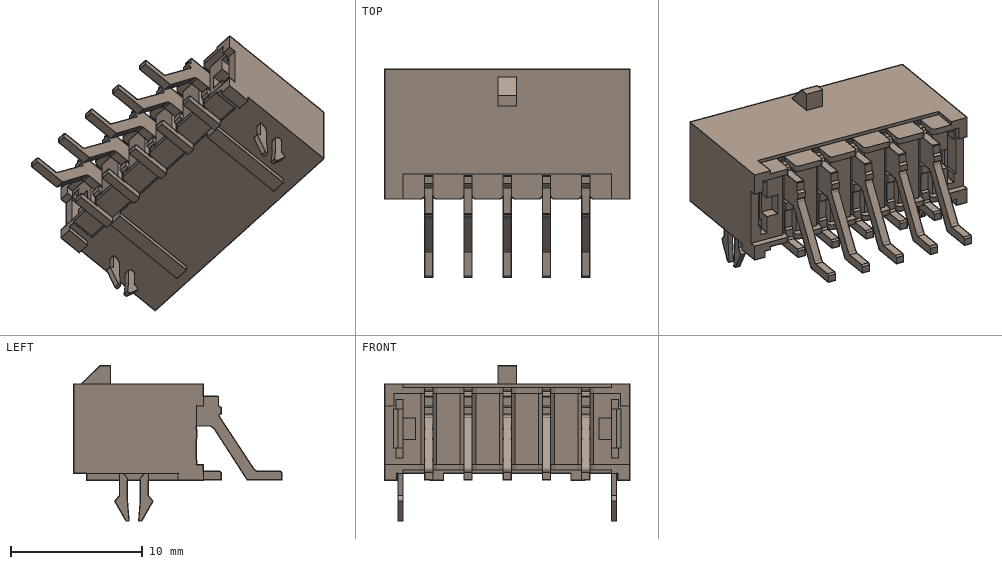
import cadquery as cq


length = 18.7
depth = 9.91
top_z = 7.35
base_z = 0.52
half_length = length / 2

panel_y = 0.55
panel_bottom_z = 1.2
end_notch_top_z = 5.68
panel_top_z = 6.62
corner_post_width = 0.73
lip_recess_depth = 0.26
lip_recess_back_y = 1.93
lip_recess_margin = 1.4
lip_top_z = top_z - lip_recess_depth
lip_bottom_z = base_z + lip_recess_depth

corner_foot_width = 0.94
rail_width = 1.05
rail_offset = 5.37
rail_end_y = 8.92

latch_width = 1.42
latch_height = 1.4
latch_back_y = 7.09
latch_crest_y = 7.9
latch_front_y = 9.31

pin_count = 5
pin_pitch = 3.0
pin_width = 0.64
pin_bottom_z = 0.04
lead_top_z = 0.71
tip_chamfer = 0.13
slot_mouth_width = 1.22
slot_flare = (slot_mouth_width - pin_width) / 2
slot_back_y = 1.81
pin_root_y = slot_back_y + 0.19

lock_inner_margin = 1.4
lock_thickness = 0.4
lock_center_y = 5.31
lock_tip_z = -3.1
lock_slot_bottom_z = 1.72
lock_slot_top_z = 6.15
lock_slot_width = 0.55
lock_pocket_back_y = 1.42
lock_plate_bottom_z = 2.45
lock_plate_top_z = 5.42
lock_channel_width = 0.73
lock_channel_back_y = 1.87
lock_plate_front_y = 1.68
lock_window_bottom_z = 3.12
lock_window_top_z = 4.75
lock_window_width = 0.95


def block(x0, x1, y0, y1, z0, z1):
    """Box given by its limits along each axis."""
    return cq.Workplane("XY").box(x1 - x0, y1 - y0, z1 - z0, centered=False).translate((x0, y0, z0))


def plate_yz(points, width, center_x=0.0):
    """Plate with an outline in Y and Z, centred on center_x."""
    outline = cq.Workplane("YZ").polyline(points).close()
    return outline.extrude(width / 2, both=True).translate((center_x, 0, 0))


def mirrored(shape):
    """The shape together with its mirror image across the middle plane."""
    return shape.union(shape.mirror("YZ"))


def make_housing():
    body = block(-half_length, half_length, 0, depth, base_z, top_z)
    lip_half = half_length - lip_recess_margin
    panel_half = half_length - corner_post_width
    body = body.cut(block(-lip_half, lip_half, 0, lip_recess_back_y, lip_top_z, top_z))
    body = body.cut(block(-lip_half, lip_half, 0, lip_recess_back_y, base_z, lip_bottom_z))
    body = body.cut(block(-half_length, half_length, 0, panel_y, panel_bottom_z, end_notch_top_z))
    body = body.cut(block(-panel_half, panel_half, 0, panel_y, panel_bottom_z, panel_top_z))
    return body


def make_feet():
    corner_foot = block(-half_length, corner_foot_width - half_length, 0, lip_recess_back_y, 0, base_z)
    rail = block(-rail_width / 2, rail_width / 2, lip_recess_back_y, rail_end_y, 0, base_z)
    return mirrored(corner_foot.union(rail.translate((-rail_offset, 0, 0))))


def make_latch():
    crest_z = top_z + latch_height
    outline = [
        (latch_back_y, top_z),
        (latch_back_y, crest_z),
        (latch_crest_y, crest_z),
        (latch_front_y, top_z),
    ]
    return plate_yz(outline, latch_width)


def make_terminal_slot(center_x):
    """Slot for a pair of terminals: rounded mouth in the lips, bevelled mouth in the panel."""
    half_pin = pin_width / 2
    half_mouth = slot_mouth_width / 2
    slot = block(-half_pin, half_pin, 0, slot_back_y, lip_bottom_z, lip_top_z)
    arc_middle = slot_flare * (1 - 0.5**0.5)
    rounded_mouth = (
        cq.Workplane("XY")
        .workplane(offset=lip_bottom_z)
        .moveTo(-half_mouth, 0)
        .threePointArc((-half_pin - arc_middle, arc_middle), (-half_pin, slot_flare))
        .lineTo(half_pin, slot_flare)
        .threePointArc((half_pin + arc_middle, arc_middle), (half_mouth, 0))
        .close()
        .extrude(lip_top_z - lip_bottom_z)
    )
    bevelled_mouth = (
        cq.Workplane("XY")
        .workplane(offset=panel_bottom_z)
        .moveTo(-half_mouth, panel_y)
        .lineTo(-half_pin, panel_y + slot_flare)
        .lineTo(half_pin, panel_y + slot_flare)
        .lineTo(half_mouth, panel_y)
        .close()
        .extrude(panel_top_z - panel_bottom_z)
    )
    return slot.union(rounded_mouth).union(bevelled_mouth).translate((center_x, 0, 0))


def make_upper_terminal(center_x):
    lead_end_y = -5.98
    underside_z = 4.13
    bump_y = -1.37
    bump_bottom_z = 5.07
    bump_top_z = 5.55
    tab_front_y = -1.16
    tab_top_z = 6.41
    step_z = 6.77
    step_end_y = 1.72
    root_top_z = 6.9
    outline = (
        cq.Workplane("YZ")
        .moveTo(pin_root_y, underside_z)
        .lineTo(-0.52, underside_z)
        .lineTo(-0.8, underside_z - 0.19)
        .lineTo(-3.33, pin_bottom_z)
        .lineTo(lead_end_y, pin_bottom_z)
        .lineTo(lead_end_y, lead_top_z - tip_chamfer)
        .lineTo(lead_end_y + tip_chamfer, lead_top_z)
        .lineTo(-4.02, lead_top_z)
        .lineTo(-3.85, lead_top_z + 0.15)
        .lineTo(-1.25, bump_bottom_z - 0.26)
        .threePointArc((-1.2, bump_bottom_z - 0.11), (-1.3, bump_bottom_z))
        .lineTo(bump_y, bump_bottom_z)
        .lineTo(bump_y, bump_top_z)
        .lineTo(tab_front_y, bump_top_z + 0.13)
        .lineTo(tab_front_y, tab_top_z - 0.05)
        .lineTo(tab_front_y + 0.07, tab_top_z)
        .lineTo(0.86, tab_top_z)
        .lineTo(1.03, tab_top_z + 0.2)
        .lineTo(1.2, step_z)
        .lineTo(step_end_y, step_z)
        .lineTo(step_end_y + 0.04, root_top_z)
        .lineTo(pin_root_y, root_top_z)
        .close()
    )
    return outline.extrude(pin_width / 2, both=True).translate((center_x, 0, 0))


def make_lower_terminal(center_x):
    lead_end_y = -1.37
    head_y = 0.5
    neck_y = 0.67
    neck_bottom_z = 1.65
    neck_top_z = 3.1
    neck_bevel = 0.13
    head_top_z = 3.87
    outline = [
        (pin_root_y, base_z),
        (lip_recess_back_y, base_z),
        (lip_recess_back_y, pin_bottom_z),
        (lead_end_y, pin_bottom_z),
        (lead_end_y, lead_top_z - tip_chamfer),
        (lead_end_y + tip_chamfer, lead_top_z),
        (head_y - 0.15, lead_top_z),
        (head_y, lead_top_z + 0.15),
        (head_y, neck_bottom_z - neck_bevel),
        (neck_y, neck_bottom_z),
        (neck_y, neck_top_z),
        (head_y, neck_top_z + neck_bevel),
        (head_y, head_top_z),
        (pin_root_y, head_top_z),
    ]
    return plate_yz(outline, pin_width, center_x)


def make_lock_pocket():
    """Pocket in the left end of the panel, with the plate of the board lock standing at its back."""
    inner_x = lock_inner_margin - half_length
    slot = block(
        inner_x - lock_slot_width, inner_x, 0, lock_pocket_back_y, lock_slot_bottom_z, lock_slot_top_z
    )
    channel = block(
        inner_x - lock_channel_width, inner_x, 0, lock_channel_back_y, lock_plate_bottom_z, lock_plate_top_z
    )
    plate = block(
        inner_x - lock_thickness,
        inner_x,
        lock_plate_front_y,
        lock_channel_back_y,
        lock_plate_bottom_z,
        lock_plate_top_z,
    )
    window = block(
        inner_x, inner_x + lock_window_width, 0, lock_pocket_back_y, lock_window_bottom_z, lock_window_top_z
    )
    return slot.union(channel.cut(plate)).union(window)


def make_lock_legs():
    """Pair of barbed legs under the left end of the housing."""
    shoulder_z = -1.16
    barb_z = -1.59
    inner_bend_z = -1.53
    gap_flare_z = 0.15
    outer_offset = 1.1
    inner_offset = 0.49
    leg = [
        (outer_offset, base_z),
        (outer_offset, shoulder_z),
        (outer_offset + 0.35, barb_z),
        (0.6, lock_tip_z),
        (0.35, lock_tip_z),
        (inner_offset, inner_bend_z),
        (inner_offset, gap_flare_z),
        (inner_offset + 0.3, base_z),
    ]
    center_x = lock_inner_margin - half_length - lock_thickness / 2
    legs = cq.Workplane("XY")
    for side in (-1, 1):
        outline = [(lock_center_y + side * offset, z) for offset, z in leg]
        legs = legs.add(plate_yz(outline, lock_thickness, center_x))
    return legs.combine()


result = make_housing().union(make_feet()).union(make_latch())
result = result.cut(mirrored(make_lock_pocket())).union(mirrored(make_lock_legs()))
for index in range(pin_count):
    pin_x = (index - (pin_count - 1) / 2) * pin_pitch
    result = result.cut(make_terminal_slot(pin_x))
    result = result.union(make_upper_terminal(pin_x)).union(make_lower_terminal(pin_x))